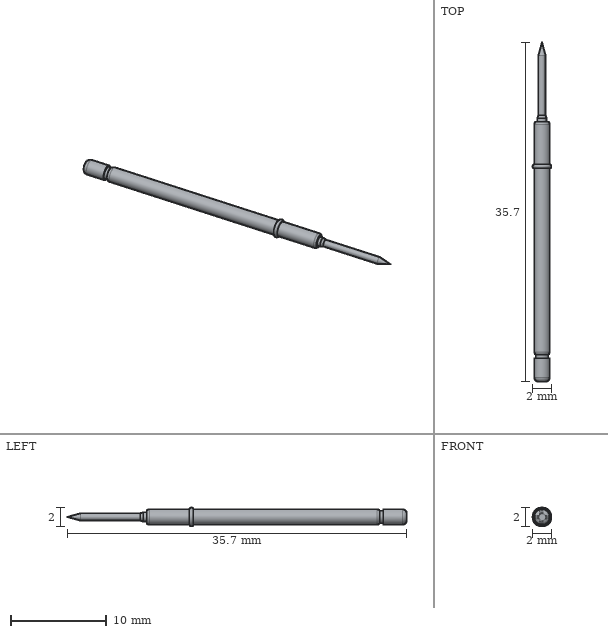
import cadquery as cq
import math

total_length = 35.7

barrel_radius = 0.82
bead_crest_radius = 1.0
barrel_face_radius = 0.695
groove_radius = 0.68
collar_radius = 0.5
plunger_radius = 0.4

rear_rounding = 0.45
edge_rounding = 0.4

bead_half_width = 0.2

groove_rear = 2.5
groove_front = 2.85
bead_center = 22.65
barrel_front = 27.35
collar_front = 27.7
plunger_rear = 28.02
cone_base = 34.3


def rounding_angle(rounding, foot_radius):
    """Angle swept by a rounding from the barrel surface down to the given radius."""
    drop = barrel_radius - foot_radius
    return math.acos((rounding - drop) / rounding)


def rounding_point(rounding, center_y, angle):
    """Profile point on a rounding tangent to the barrel; the angle runs from radial towards +Y."""
    return (
        barrel_radius - rounding * (1 - math.cos(angle)),
        center_y + rounding * math.sin(angle),
    )


def revolve_about_y(profile):
    """Close a profile drawn with radius along Z and length along Y, and turn it about Y."""
    return profile.close().revolve(360, (0, 0, 0), (0, 1, 0))


def make_barrel():
    """Barrel with rounded ends, a press-fit bead and a crimp groove with a rounded front shoulder."""
    shoulder_angle = rounding_angle(edge_rounding, groove_radius)
    shoulder_center_y = groove_front + edge_rounding * math.sin(shoulder_angle)
    rim_angle = rounding_angle(edge_rounding, barrel_face_radius)
    rim_center_y = barrel_front - edge_rounding * math.sin(rim_angle)
    profile = (
        cq.Workplane("ZY")
        .moveTo(0, 0)
        .lineTo(barrel_radius - rear_rounding, 0)
        .threePointArc(
            rounding_point(rear_rounding, rear_rounding, -math.pi / 4),
            (barrel_radius, rear_rounding),
        )
        .lineTo(barrel_radius, groove_rear)
        .lineTo(groove_radius, groove_rear)
        .lineTo(groove_radius, groove_front)
        .threePointArc(
            rounding_point(edge_rounding, shoulder_center_y, -shoulder_angle / 2),
            (barrel_radius, shoulder_center_y),
        )
        .lineTo(barrel_radius, bead_center - bead_half_width)
        .threePointArc(
            (bead_crest_radius, bead_center),
            (barrel_radius, bead_center + bead_half_width),
        )
        .lineTo(barrel_radius, rim_center_y)
        .threePointArc(
            rounding_point(edge_rounding, rim_center_y, rim_angle / 2),
            (barrel_face_radius, barrel_front),
        )
        .lineTo(0, barrel_front)
    )
    return revolve_about_y(profile)


def make_plunger():
    """Collar, tapered neck, cylindrical plunger and conical tip, rooted on the barrel face."""
    profile = (
        cq.Workplane("ZY")
        .moveTo(0, barrel_front)
        .lineTo(collar_radius, barrel_front)
        .lineTo(collar_radius, collar_front)
        .lineTo(plunger_radius, plunger_rear)
        .lineTo(plunger_radius, cone_base)
        .lineTo(0, total_length)
    )
    return revolve_about_y(profile)


result = make_barrel().union(make_plunger())